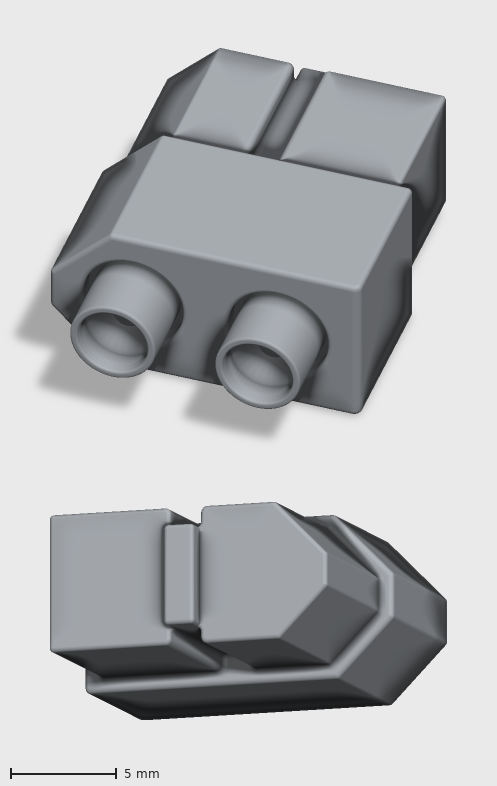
import cadquery as cq
import math

SHELL_WIDTH = 15.49
SHELL_HEIGHT = 7.9
SHELL_LENGTH = 8.0
UPPER_CORNER_LEG = 3.0
LOWER_CORNER_LEG = 2.8

PLUG_LENGTH = 7.69
PLUG_INSET = 0.65
PLUG_FLAT_SIDE_INSET = 0.9

TONGUE_WIDTH = 1.5
TONGUE_LENGTH = 1.0
TONGUE_TOP = 2.3
TONGUE_BOTTOM = -2.5

CUP_PITCH = 7.25
CUP_DIAMETER = 4.26
CUP_BORE_DIAMETER = 3.5
CUP_FLOOR_DIAMETER = 1.5
CUP_LENGTH = 3.0
CUP_BORE_DEPTH = 1.3
CUP_CONE_DEPTH = 1.0
CUP_RIM_RADIUS = 0.13
RECESS_DIAMETER = 5.0
RECESS_DEPTH = 1.0

EDGE_RADIUS = 0.25
GROOVE_FLOOR_RADIUS = 0.25
RECESS_MOUTH_RADIUS = 0.25
GROOVE_RIM_RADIUS = 0.3
TONGUE_EDGE_RADIUS = 0.2
FLAT_SIDE_EDGE_RADIUS = 0.4
PLUG_EDGE_RADIUS = 0.2
ROOT_RADIUS = 0.25

SELECTION_MARGIN = 0.05

ARC_MIDPOINT = 1 - math.sqrt(0.5)

PLUG_START = SHELL_LENGTH / 2
PLUG_END = SHELL_LENGTH + PLUG_LENGTH
CUP_POSITIONS = (-CUP_PITCH / 2, CUP_PITCH / 2)


def keyed_prism(inset, flat_side_inset, start, end):
    """Prism along Y with two 45 degree corners on the -X side, inset from the shell outline."""
    left = -SHELL_WIDTH / 2 + inset
    right = SHELL_WIDTH / 2 - flat_side_inset
    top = SHELL_HEIGHT / 2 - inset
    leg_loss = inset * (2 - math.sqrt(2))
    upper_leg = UPPER_CORNER_LEG - leg_loss
    lower_leg = LOWER_CORNER_LEG - leg_loss
    outline = [
        (left, top - upper_leg),
        (left + upper_leg, top),
        (right, top),
        (right, -top),
        (left + lower_leg, -top),
        (left, lower_leg - top),
    ]
    return cq.Workplane("XZ", origin=(0, start, 0)).polyline(outline).close().extrude(start - end)


def make_shell():
    """Rear shell with all edges rounded, the rear edge of the flat side more than the others."""
    shell = keyed_prism(0, 0, 0, SHELL_LENGTH)
    shell = shell.faces("<Y").edges(">X").fillet(FLAT_SIDE_EDGE_RADIUS)
    corner = cq.Vector(SHELL_WIDTH / 2, 0, 0)
    reach = cq.Vector(1, 1, 1) * (FLAT_SIDE_EDGE_RADIUS + SELECTION_MARGIN)
    borders = cq.selectors.BoxSelector((corner - reach).toTuple(), (corner + reach).toTuple())
    return shell.edges(-borders).fillet(EDGE_RADIUS)


def groove_cutter(floor, surface, up):
    """Groove profile with rounded floor corners and rims; up is +1 for the top, -1 for the bottom."""
    half = TONGUE_WIDTH / 2
    corner = GROOVE_FLOOR_RADIUS
    corner_mid = corner * ARC_MIDPOINT
    rim = GROOVE_RIM_RADIUS
    rim_mid = rim * ARC_MIDPOINT
    profile = (
        cq.Workplane("XZ", origin=(0, PLUG_START, 0))
        .moveTo(corner - half, floor)
        .lineTo(half - corner, floor)
        .threePointArc((half - corner_mid, floor + up * corner_mid), (half, floor + up * corner))
        .lineTo(half, surface - up * rim)
        .threePointArc((half + rim_mid, surface - up * rim_mid), (half + rim, surface))
        .lineTo(-half - rim, surface)
        .threePointArc((-half - rim_mid, surface - up * rim_mid), (-half, surface - up * rim))
        .lineTo(-half, floor + up * corner)
        .threePointArc((corner_mid - half, floor + up * corner_mid), (corner - half, floor))
        .close()
    )
    return profile.extrude(PLUG_START - PLUG_END)


def make_plug():
    """Plug body with a groove above and below the tongue."""
    half_height = SHELL_HEIGHT / 2 - PLUG_INSET
    plug = keyed_prism(PLUG_INSET, PLUG_FLAT_SIDE_INSET, PLUG_START, PLUG_END)
    plug = plug.edges("|Y").fillet(PLUG_EDGE_RADIUS)
    plug = plug.cut(groove_cutter(TONGUE_TOP, half_height, 1))
    plug = plug.cut(groove_cutter(TONGUE_BOTTOM, -half_height, -1))
    return plug.faces(">Y").edges().fillet(PLUG_EDGE_RADIUS)


def make_housing():
    """Shell and plug joined, with a fillet where the plug meets the shoulder of the shell."""
    housing = make_shell().union(make_plug())
    shoulder = housing.faces("|Y and (not <Y) and (not >Y)").val()
    plug_root = shoulder.innerWires()[0].Edges()
    return cq.Workplane(housing.val().fillet(ROOT_RADIUS, plug_root))


def make_tongue():
    """Tongue running through the plug and out past its end."""
    height = TONGUE_TOP - TONGUE_BOTTOM
    length = PLUG_LENGTH + TONGUE_LENGTH
    tongue = cq.Workplane("XY").box(TONGUE_WIDTH, length, height, centered=(True, False, False))
    tongue = tongue.edges("|Y or >Y").fillet(TONGUE_EDGE_RADIUS)
    return tongue.translate((0, SHELL_LENGTH, TONGUE_BOTTOM))


def cylinder(diameter, start, end, x):
    """Cylinder along Y between two Y positions."""
    return cq.Workplane("XZ", origin=(x, start, 0)).circle(diameter / 2).extrude(start - end)


def recess_cutter(x):
    """Turned cutter for the recess around a cup, with a rounded mouth."""
    wall = RECESS_DIAMETER / 2
    mouth = RECESS_MOUTH_RADIUS
    mouth_mid = mouth * ARC_MIDPOINT
    profile = (
        cq.Workplane("XY")
        .lineTo(wall + mouth, 0)
        .threePointArc((wall + mouth_mid, mouth_mid), (wall, mouth))
        .lineTo(wall, RECESS_DEPTH)
        .lineTo(0, RECESS_DEPTH)
        .close()
    )
    return profile.revolve(360, (0, 0), (0, 1)).translate((x, 0, 0))


def make_cup(x):
    """Solder cup standing out of its recess, with a straight bore and a rounded rim."""
    cup = cylinder(CUP_DIAMETER, -CUP_LENGTH, RECESS_DEPTH, x)
    cup = cup.cut(cylinder(CUP_BORE_DIAMETER, -CUP_LENGTH, CUP_BORE_DEPTH - CUP_LENGTH, x))
    return cup.faces("<Y").edges().fillet(CUP_RIM_RADIUS)


def cup_cone_cutter(x):
    """Tapered bottom of the cup bore, narrowing to a flat floor."""
    cone = cq.Solid.makeCone(
        CUP_BORE_DIAMETER / 2,
        CUP_FLOOR_DIAMETER / 2,
        CUP_CONE_DEPTH,
        pnt=cq.Vector(x, CUP_BORE_DEPTH - CUP_LENGTH, 0),
        dir=cq.Vector(0, 1, 0),
    )
    return cq.Workplane(cone)


result = make_housing().union(make_tongue())
for cup_x in CUP_POSITIONS:
    result = result.cut(recess_cutter(cup_x)).union(make_cup(cup_x))
    result = result.cut(cup_cone_cutter(cup_x))